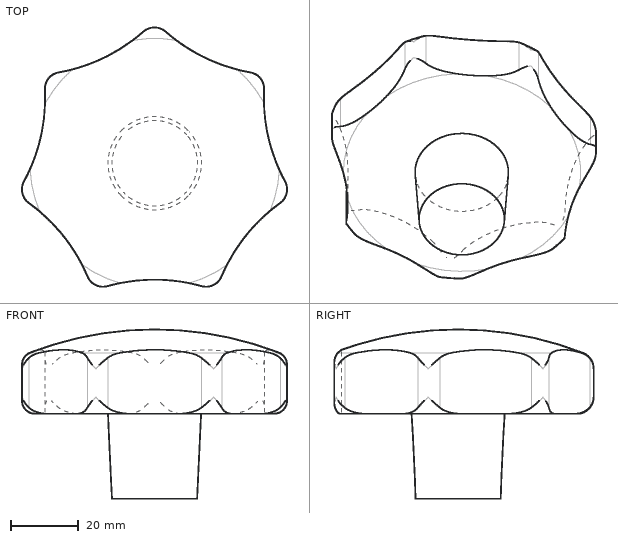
import cadquery as cq
import math

lobe_count = 7
width = 78.25
lobe_radius = 5.0
rim_radius = 5.0
valley_distance = 34.4
total_height = 50.0
stem_height = 25.0
stem_bottom_radius = 12.6
stem_top_radius = 13.8

half_pitch = math.pi / lobe_count
lobe_center_distance = (width / 2 - lobe_radius) / math.cos(half_pitch / 2)
tip_radius = lobe_center_distance + lobe_radius

lobe_across = lobe_center_distance * math.sin(half_pitch)
lobe_along = lobe_center_distance * math.cos(half_pitch)
valley_gap = valley_distance - lobe_along
valley_radius = (lobe_across**2 + valley_gap**2 - lobe_radius**2) / (2 * (lobe_radius - valley_gap))
valley_center_distance = valley_distance + valley_radius

rim_center_radius = tip_radius - rim_radius
rim_center_height = 38.4
dome_drop = total_height - rim_center_height
dome_radius = (rim_center_radius**2 + dome_drop**2 - rim_radius**2) / (2 * (dome_drop - rim_radius))
dome_center_height = total_height - dome_radius


def polar(distance, angle):
    return (distance * math.cos(angle), distance * math.sin(angle))


def lobed_prism():
    """Prism with alternating tangent lobes and valleys, one lobe on +Y."""
    tangent_share = lobe_radius / (lobe_radius + valley_radius)
    tangent_x = lobe_along + (valley_center_distance - lobe_along) * tangent_share
    tangent_y = lobe_across * (1 - tangent_share)
    tangent_distance = math.hypot(tangent_x, tangent_y)
    tangent_offset = half_pitch - math.atan2(tangent_y, tangent_x)

    first_lobe = math.pi / 2
    outline = cq.Workplane("XY", origin=(0, 0, stem_height))
    outline = outline.moveTo(*polar(tangent_distance, first_lobe - tangent_offset))
    for index in range(lobe_count):
        lobe = first_lobe + 2 * half_pitch * index
        valley = lobe + half_pitch
        next_lobe = valley + half_pitch
        outline = outline.threePointArc(
            polar(tip_radius, lobe), polar(tangent_distance, lobe + tangent_offset)
        )
        outline = outline.threePointArc(
            polar(valley_distance, valley), polar(tangent_distance, next_lobe - tangent_offset)
        )
    return outline.close().extrude(total_height - stem_height)


def domed_disc():
    """Revolved envelope with a domed top and rounded rims."""
    rim_angle = math.atan2(rim_center_height - dome_center_height, rim_center_radius)
    dome_mid_angle = (rim_angle + math.pi / 2) / 2

    def dome_point(angle):
        x, z = polar(dome_radius, angle)
        return (x, dome_center_height + z)

    def rim_point(angle, center_height):
        x, z = polar(rim_radius, angle)
        return (rim_center_radius + x, center_height + z)

    lower_rim_height = stem_height + rim_radius
    return (
        cq.Workplane("XZ")
        .moveTo(0, stem_height)
        .lineTo(rim_center_radius, stem_height)
        .threePointArc(rim_point(-math.pi / 4, lower_rim_height), (tip_radius, lower_rim_height))
        .lineTo(tip_radius, rim_center_height)
        .threePointArc(rim_point(rim_angle / 2, rim_center_height), dome_point(rim_angle))
        .threePointArc(dome_point(dome_mid_angle), (0, total_height))
        .close()
        .revolve(360, (0, 0), (0, 1))
    )


def tapered_stem():
    """Solid stem widening towards the head."""
    return cq.Workplane(cq.Solid.makeCone(stem_bottom_radius, stem_top_radius, stem_height))


head = domed_disc().intersect(lobed_prism())
result = head.union(tapered_stem())